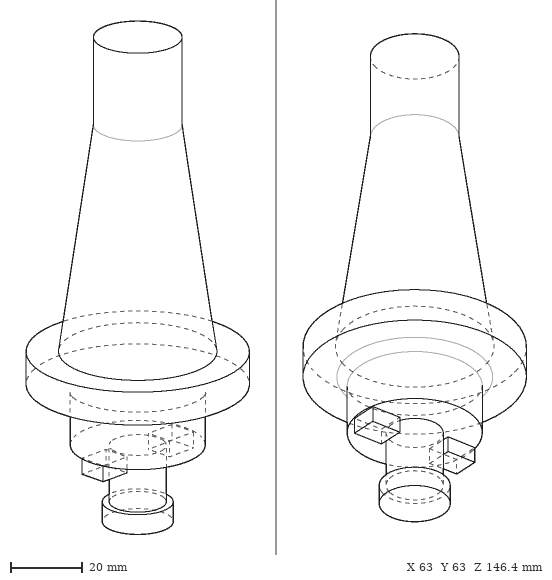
import cadquery as cq

total_height = 146.4
head_height = 6.0
hub_bottom = 23.1
flange_bottom = 41.5
flange_thickness = 10.0
pilot_length = 26.5

head_diameter = 20.0
screw_diameter = 16.1
hub_diameter = 38.0
flange_diameter = 63.0
taper_base_diameter = 44.7
pilot_diameter = 25.0

hub_fillet_radius = 3.0

key_width = 8.3
key_height = 4.8
key_outer_span = 36.6
key_inner_span = 17.3

flange_top = flange_bottom + flange_thickness
pilot_bottom = total_height - pilot_length


def turned_body():
    """Revolve the half profile of screw, hub, flange, taper and pilot."""
    head_radius = head_diameter / 2
    screw_radius = screw_diameter / 2
    hub_radius = hub_diameter / 2
    flange_radius = flange_diameter / 2
    pilot_radius = pilot_diameter / 2
    profile = (
        cq.Workplane("XZ")
        .lineTo(head_radius, 0)
        .lineTo(head_radius, head_height)
        .lineTo(screw_radius, head_height)
        .lineTo(screw_radius, hub_bottom)
        .lineTo(hub_radius, hub_bottom)
        .lineTo(hub_radius, flange_bottom - hub_fillet_radius)
        .radiusArc((hub_radius + hub_fillet_radius, flange_bottom), hub_fillet_radius)
        .lineTo(flange_radius, flange_bottom)
        .lineTo(flange_radius, flange_top)
        .lineTo(taper_base_diameter / 2, flange_top)
        .lineTo(pilot_radius, pilot_bottom)
        .lineTo(pilot_radius, total_height)
        .lineTo(0, total_height)
        .close()
    )
    return profile.revolve(360, (0, 0), (0, 1))


def drive_key(side):
    """Rectangular key under the hub; side is +1 or -1 along Y."""
    radial_length = (key_outer_span - key_inner_span) / 2
    radial_center = (key_outer_span + key_inner_span) / 4
    return (
        cq.Workplane("XY")
        .workplane(offset=hub_bottom)
        .center(0, side * radial_center)
        .rect(key_width, radial_length)
        .extrude(-key_height)
    )


result = turned_body()
for side in (-1, 1):
    result = result.union(drive_key(side))